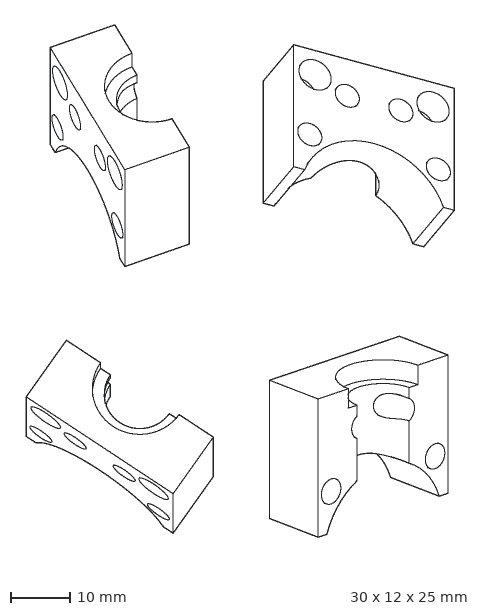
import cadquery as cq

width = 30.0
depth = 12.0
height = width * 5 / 6

arch_radius = 13.7
arch_top = 9.2

bore_radius = 6.0
seat_radius = 8.0
seat_depth = 3.5

through_diameter = 4.5
upper_half_spacing = width / 6
upper_height = 17.5
lower_half_spacing = 12.0
lower_height = 7.5
blind_diameter = 6.0
blind_half_spacing = 11.0
blind_height = 20.0
blind_depth = 6.0


def front_cylinder(x, z, radius, length):
    """Cylinder running from the front face toward the back."""
    return cq.Workplane("XZ").center(x, z).circle(radius).extrude(-length)


def back_cylinder(radius, bottom, top):
    """Vertical cylinder centred on the back face."""
    return cq.Workplane("XY", origin=(0, depth, bottom)).circle(radius).extrude(top - bottom)


result = cq.Workplane("XY").box(width, depth, height, centered=(True, False, False))

result = result.cut(front_cylinder(0, arch_top - arch_radius, arch_radius, depth))

result = result.cut(back_cylinder(bore_radius, 0, height))
result = result.cut(back_cylinder(seat_radius, height - seat_depth, height))

for side in (-1, 1):
    for half_spacing, z, diameter, length in (
        (upper_half_spacing, upper_height, through_diameter, depth),
        (lower_half_spacing, lower_height, through_diameter, depth),
        (blind_half_spacing, blind_height, blind_diameter, blind_depth),
    ):
        result = result.cut(front_cylinder(side * half_spacing, z, diameter / 2, length))